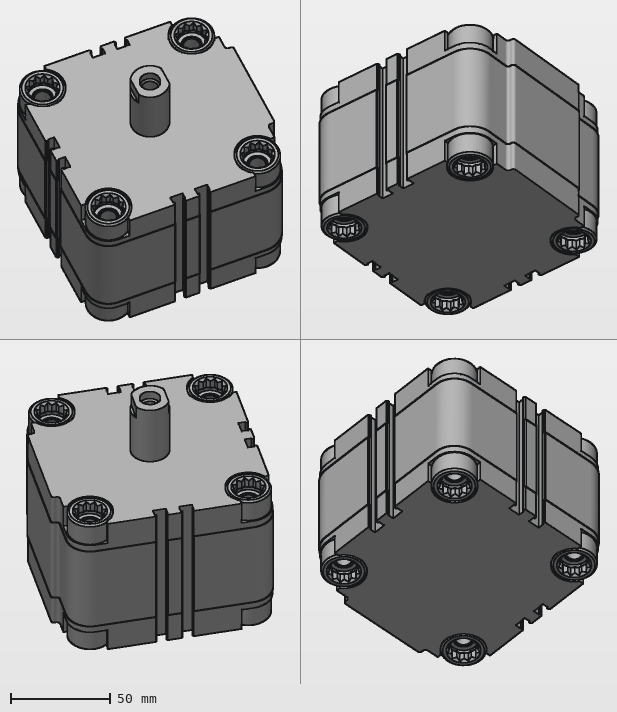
import cadquery as cq
import math

TOTAL_HEIGHT = 114.0
HOUSING_HEIGHT = 80.9
HOUSING_WIDTH = 107.0
HALF_WIDTH = HOUSING_WIDTH / 2
CORNER_RADIUS = 12.5
CAP_HEIGHT = 16.3
CAP_INSET = 0.3

PAD_HEIGHT = 4.0
PAD_HALF_WIDTH = 26.5
PAD_EDGE_RADIUS = 1.7
PAD_FOOT_RADIUS = 1.4

SLOT_OFFSET = 6.7
SLOT_WIDTH = 6.7
SLOT_DEPTH = 5.4
SLOT_MOUTH = 5.1
LIP_DEPTH = 1.9
LIP_RADIUS = 0.6
SLOT_SIDE_ANGLES = (0, 90, -90)

COLLAR_DIAMETER = 23.0
COLLAR_OFFSET = HALF_WIDTH - CORNER_RADIUS
CORNER_ANGLES = (0, 90, 180, 270)
COLLAR_HEIGHT = 12.4
COLLAR_CHAMFER = 1.0
POCKET_DIAMETER = 23.5
NOTCH_OVERLAP = 6.4

SOCKET_POINTS = 12
SOCKET_TIP_DIAMETER = 16.5
SOCKET_VALLEY_DIAMETER = 14.1
SOCKET_DEPTH = 6.0
SOCKET_MOUTH_DIAMETER = 17.4
SOCKET_CONE_DEPTH = 1.7
RECESS_DIAMETER = 15.4
RECESS_DEPTH = 8.0
BOLT_SEAT_DIAMETER = 10.5
BOLT_SEAT_CHAMFER = 0.5
BOLT_HOLE_DIAMETER = 8.3

ROD_DIAMETER = 20.0
ROD_FLAT_WIDTH = 17.0
ROD_FLAT_LENGTH = 7.0
ROD_BORE_DIAMETER = 10.5
ROD_BORE_DEPTH = 4.6
ROD_DRILL_DIAMETER = 8.5
ROD_DRILL_DEPTH = 20.0
DRILL_POINT_ANGLE = 118.0


def outline_prism(inset, height):
    """Rounded square with the pad on its +Y side, moved inwards by `inset`."""
    half = HALF_WIDTH - inset
    block = cq.Workplane("XY").rect(2 * half, 2 * half).extrude(height)
    block = block.edges("|Z").fillet(CORNER_RADIUS - inset)

    foot = PAD_FOOT_RADIUS + inset
    edge = PAD_EDGE_RADIUS - inset
    side = PAD_HALF_WIDTH - inset
    pad_top = half + PAD_HEIGHT
    pad = (
        cq.Workplane("XY")
        .moveTo(-side - foot, 0)
        .lineTo(-side - foot, half)
        .radiusArc((-side, half + foot), -foot)
        .lineTo(-side, pad_top - edge)
        .radiusArc((-side + edge, pad_top), edge)
        .lineTo(side - edge, pad_top)
        .radiusArc((side, pad_top - edge), edge)
        .lineTo(side, half + foot)
        .radiusArc((side + foot, half), -foot)
        .lineTo(side + foot, 0)
        .close()
        .extrude(height)
    )
    return block.union(pad)


def slot_prism(inset, height):
    """One T-slot at the middle of the -Y side, its lips rounded at a face moved in by `inset`."""
    face = -HALF_WIDTH + inset
    lip_back = -HALF_WIDTH + LIP_DEPTH
    floor = -HALF_WIDTH + SLOT_DEPTH
    mouth = SLOT_MOUTH / 2
    inner = SLOT_WIDTH / 2
    flare = mouth + LIP_RADIUS
    outside = -HOUSING_WIDTH
    return (
        cq.Workplane("XY")
        .moveTo(-flare, outside)
        .lineTo(-flare, face)
        .radiusArc((-mouth, face + LIP_RADIUS), LIP_RADIUS)
        .lineTo(-mouth, lip_back)
        .lineTo(-inner, lip_back)
        .lineTo(-inner, floor)
        .lineTo(inner, floor)
        .lineTo(inner, lip_back)
        .lineTo(mouth, lip_back)
        .lineTo(mouth, face + LIP_RADIUS)
        .radiusArc((flare, face), LIP_RADIUS)
        .lineTo(flare, outside)
        .close()
        .extrude(height)
    )


def slotted_prism(inset, height):
    """A length of the housing, with the slot pairs cut on three sides."""
    prism = outline_prism(inset, height)
    slot = slot_prism(inset, height)
    for angle in SLOT_SIDE_ANGLES:
        for offset in (-SLOT_OFFSET, SLOT_OFFSET):
            prism = prism.cut(slot.translate((offset, 0, 0)).rotate((0, 0, 0), (0, 0, 1), angle))
    return prism


def revolved(points):
    """Solid of revolution about Z from (radius, height) points."""
    return cq.Workplane("XZ").polyline(points).close().revolve(360, (0, 0), (0, 1))


def corner_pocket():
    """Material removed around a +X +Y corner collar, its axis on Z and its end at Z = 0."""
    size = NOTCH_OVERLAP + 2 * CORNER_RADIUS
    notch = (
        cq.Workplane("XY")
        .box(size, size, COLLAR_HEIGHT, centered=False)
        .translate((-NOTCH_OVERLAP, -NOTCH_OVERLAP, -COLLAR_HEIGHT))
    )
    pocket = cq.Workplane("XY").circle(POCKET_DIAMETER / 2).extrude(-COLLAR_HEIGHT)
    collar = cq.Workplane("XY").circle(COLLAR_DIAMETER / 2).extrude(-COLLAR_HEIGHT)
    collar = collar.faces(">Z").chamfer(COLLAR_CHAMFER)
    return notch.union(pocket).cut(collar)


def star_points():
    """Corners of the twelve-point socket, tips and valleys in turn."""
    points = []
    for index in range(2 * SOCKET_POINTS):
        diameter = SOCKET_VALLEY_DIAMETER if index % 2 else SOCKET_TIP_DIAMETER
        angle = math.pi * index / SOCKET_POINTS
        points.append((diameter / 2 * math.cos(angle), diameter / 2 * math.sin(angle)))
    return points


def corner_socket():
    """Twelve-point socket sunk from Z = 0, with the recess and the chamfered bolt seat under it."""
    mouth = SOCKET_MOUTH_DIAMETER / 2
    recess = RECESS_DIAMETER / 2
    seat = BOLT_SEAT_DIAMETER / 2
    seat_bottom = -RECESS_DEPTH - BOLT_SEAT_CHAMFER
    star = cq.Workplane("XY").polyline(star_points()).close().extrude(-SOCKET_DEPTH)
    lead_in = revolved([
        (0, 0),
        (mouth, 0),
        (mouth - SOCKET_CONE_DEPTH, -SOCKET_CONE_DEPTH),
        (0, -SOCKET_CONE_DEPTH),
    ])
    lower = revolved([
        (0, -SOCKET_DEPTH),
        (recess, -SOCKET_DEPTH),
        (recess, -RECESS_DEPTH),
        (seat, -RECESS_DEPTH),
        (seat - BOLT_SEAT_CHAMFER, seat_bottom),
        (0, seat_bottom),
    ])
    return star.union(lead_in).union(lower)


def make_housing():
    """Barrel and end caps in one piece, with a collar and a through bolt hole at each corner."""
    barrel_height = HOUSING_HEIGHT - 2 * CAP_HEIGHT
    barrel = slotted_prism(0, barrel_height).translate((0, 0, CAP_HEIGHT))
    housing = slotted_prism(CAP_INSET, HOUSING_HEIGHT).union(barrel)

    upper_cut = corner_pocket().union(corner_socket()).translate((0, 0, HOUSING_HEIGHT / 2))
    both_ends = upper_cut.union(upper_cut.mirror("XY"))
    corner_cut = both_ends.translate((COLLAR_OFFSET, COLLAR_OFFSET, HOUSING_HEIGHT / 2))
    bolt_hole = (
        cq.Workplane("XY")
        .center(COLLAR_OFFSET, COLLAR_OFFSET)
        .circle(BOLT_HOLE_DIAMETER / 2)
        .extrude(HOUSING_HEIGHT)
    )
    corner_cut = corner_cut.union(bolt_hole)
    for angle in CORNER_ANGLES:
        housing = housing.cut(corner_cut.rotate((0, 0, 0), (0, 0, 1), angle))
    return housing


def make_rod():
    """Round rod with two flats and a stepped blind hole at its free end."""
    length = TOTAL_HEIGHT - HOUSING_HEIGHT
    bore = ROD_BORE_DIAMETER / 2
    drill = ROD_DRILL_DIAMETER / 2
    point = drill / math.tan(math.radians(DRILL_POINT_ANGLE / 2))
    rod = cq.Workplane("XY").circle(ROD_DIAMETER / 2).extrude(-length)
    flats = (
        cq.Workplane("XY")
        .rect(2 * ROD_DIAMETER, 2 * ROD_DIAMETER)
        .rect(2 * ROD_DIAMETER, ROD_FLAT_WIDTH)
        .extrude(-ROD_FLAT_LENGTH)
    )
    hole = revolved([
        (0, 0),
        (bore, 0),
        (bore, -ROD_BORE_DEPTH),
        (drill, -ROD_BORE_DEPTH - (bore - drill)),
        (drill, -ROD_DRILL_DEPTH),
        (0, -ROD_DRILL_DEPTH - point),
    ])
    return rod.cut(flats).cut(hole).translate((0, 0, TOTAL_HEIGHT))


housing = make_housing()
rod = make_rod()
result = cq.Compound.makeCompound([housing.val(), rod.val()])